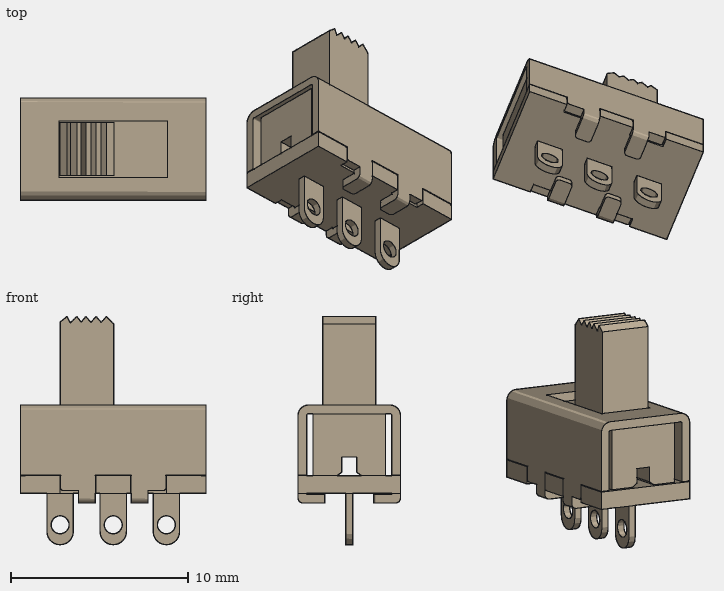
import cadquery as cq


LENGTH = 10.5
WIDTH = 5.8
BASE_HEIGHT = 1.0
COVER_TOP = 5.0
SHEET = 0.5
COVER_OUTER_RADIUS = 0.6
COVER_INNER_RADIUS = COVER_OUTER_RADIUS - SHEET
SEAT_GAP = 0.04
SIDE_GAP = 0.03
INNER_HALF_WIDTH = WIDTH / 2 - SHEET
INNER_TOP = COVER_TOP - SHEET

WINDOW_LENGTH = 6.1
WINDOW_WIDTH = 3.2

BASE_NOTCH_INNER_X = 0.98
BASE_NOTCH_OUTER_X = 3.0
TAB_INNER_X = BASE_NOTCH_INNER_X + SIDE_GAP
TAB_OUTER_X = BASE_NOTCH_OUTER_X - SIDE_GAP
TAB_BOTTOM = 0.16
TAB_CORNER_RADIUS = 0.15
LUG_LENGTH = 0.96
LUG_REACH = 1.52
LUG_TOP = -0.05
LUG_BOTTOM = LUG_TOP - SHEET
LUG_BEND_RADIUS = 0.3
LUG_TIP_RADIUS = 0.2

CARRIAGE_LENGTH = 9.95
CARRIAGE_WIDTH = 4.1
GROOVE_WIDTH = 0.82
GROOVE_TOP = 2.05
GROOVE_MOUTH_WIDTH = 1.38
GROOVE_MOUTH_HEIGHT = 0.2

KNOB_LEFT = -3.0
KNOB_LENGTH = 3.03
KNOB_WIDTH = 3.0
KNOB_TOP = 10.0
GRIP_POINTS = [
    (0, 0.31),
    (0.39, 0),
    (0.58, 0.36),
    (0.94, 0),
    (1.19, 0.32),
    (1.45, 0),
    (1.74, 0.33),
    (2.03, 0),
    (2.32, 0.33),
    (2.61, 0),
    (KNOB_LENGTH, 0.43),
]

TERMINAL_PITCH = 3.0
TERMINAL_WIDTH = 1.5
TERMINAL_THICKNESS = 0.42
TERMINAL_BOTTOM = -2.9
TERMINAL_HOLE_DIAMETER = 1.0
TERMINAL_HOLE_Z = -1.77


def block(x_min, x_max, y_min, y_max, z_min, z_max):
    """Axis-aligned box between the given limits."""
    size = (x_max - x_min, y_max - y_min, z_max - z_min)
    return cq.Workplane("XY").box(*size, centered=False).translate((x_min, y_min, z_min))


def centred_block(length, width, z_min, z_max):
    """Box centred on the Z axis."""
    return block(-length / 2, length / 2, -width / 2, width / 2, z_min, z_max)


def on_all_quarters(body):
    """The body together with its mirror images across the YZ and XZ planes."""
    half = body.union(body.mirror("YZ"))
    return half.union(half.mirror("XZ"))


def make_base():
    """Base plate, notched along both sides to take the cover tabs."""
    base = centred_block(LENGTH, WIDTH, 0, BASE_HEIGHT)
    notch = block(BASE_NOTCH_INNER_X, BASE_NOTCH_OUTER_X, INNER_HALF_WIDTH, WIDTH / 2, 0, BASE_HEIGHT)
    return base.cut(on_all_quarters(notch))


def make_tab():
    """One cover tab with its lug bent in under the base."""
    wall_bottom = BASE_HEIGHT + SEAT_GAP
    tab = block(TAB_INNER_X, TAB_OUTER_X, INNER_HALF_WIDTH, WIDTH / 2, TAB_BOTTOM, wall_bottom)
    tab = tab.edges("|Y and >X and <Z").fillet(TAB_CORNER_RADIUS)

    lug_outer_x = TAB_INNER_X + LUG_LENGTH
    leg = block(TAB_INNER_X, lug_outer_x, INNER_HALF_WIDTH, WIDTH / 2, LUG_BOTTOM, wall_bottom)
    foot = block(TAB_INNER_X, lug_outer_x, WIDTH / 2 - LUG_REACH, WIDTH / 2, LUG_BOTTOM, LUG_TOP)
    foot = foot.edges("|Z and <Y").fillet(LUG_TIP_RADIUS)
    lug = leg.union(foot).edges("|X and >Y and <Z").fillet(LUG_BEND_RADIUS)
    return tab.union(lug)


def make_cover():
    """Channel-shaped cover, open at both ends, with the knob window and four tabs."""
    bottom = BASE_HEIGHT + SEAT_GAP
    cover = centred_block(LENGTH, WIDTH, bottom, COVER_TOP)
    cover = cover.edges("|X and >Z").fillet(COVER_OUTER_RADIUS)
    cavity = centred_block(LENGTH, 2 * INNER_HALF_WIDTH, bottom, INNER_TOP)
    cavity = cavity.edges("|X and >Z").fillet(COVER_INNER_RADIUS)
    window = centred_block(WINDOW_LENGTH, WINDOW_WIDTH, INNER_TOP, COVER_TOP)
    return cover.cut(cavity).cut(window).union(on_all_quarters(make_tab()))


def make_carriage():
    """Block that slides inside the cover, with a flared groove along its underside."""
    carriage = centred_block(CARRIAGE_LENGTH, CARRIAGE_WIDTH, BASE_HEIGHT, INNER_TOP)
    mouth_top = BASE_HEIGHT + GROOVE_MOUTH_HEIGHT
    groove = (
        cq.Workplane("YZ")
        .moveTo(-GROOVE_MOUTH_WIDTH / 2, BASE_HEIGHT)
        .lineTo(-GROOVE_WIDTH / 2, mouth_top)
        .lineTo(-GROOVE_WIDTH / 2, GROOVE_TOP)
        .lineTo(GROOVE_WIDTH / 2, GROOVE_TOP)
        .lineTo(GROOVE_WIDTH / 2, mouth_top)
        .lineTo(GROOVE_MOUTH_WIDTH / 2, BASE_HEIGHT)
        .close()
        .extrude(CARRIAGE_LENGTH / 2, both=True)
    )
    return carriage.cut(groove)


def make_knob():
    """Upright knob with a serrated finger grip on top."""
    grip = [(KNOB_LEFT + along, KNOB_TOP - depth) for along, depth in GRIP_POINTS]
    feet = [(KNOB_LEFT + KNOB_LENGTH, INNER_TOP), (KNOB_LEFT, INNER_TOP)]
    return cq.Workplane("XZ").polyline(grip + feet).close().extrude(KNOB_WIDTH / 2, both=True)


def make_terminal(x):
    """Flat solder terminal with a rounded end and a wire hole."""
    radius = TERMINAL_WIDTH / 2
    arc_start = TERMINAL_BOTTOM + radius
    blade = (
        cq.Workplane("XZ")
        .moveTo(x - radius, 0)
        .lineTo(x - radius, arc_start)
        .threePointArc((x, TERMINAL_BOTTOM), (x + radius, arc_start))
        .lineTo(x + radius, 0)
        .close()
        .extrude(TERMINAL_THICKNESS / 2, both=True)
    )
    hole = (
        cq.Workplane("XZ")
        .center(x, TERMINAL_HOLE_Z)
        .circle(TERMINAL_HOLE_DIAMETER / 2)
        .extrude(TERMINAL_THICKNESS, both=True)
    )
    return blade.cut(hole)


result = make_base().union(make_cover()).union(make_carriage()).union(make_knob())
for position in (-1, 0, 1):
    result = result.union(make_terminal(position * TERMINAL_PITCH))